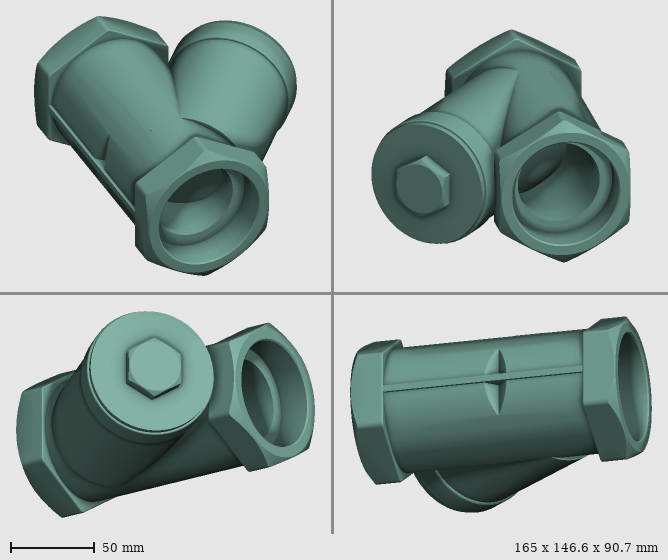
import cadquery as cq
import math

length = 165.0
body_dia = 75.0
bore_dia = 50.0
socket_dia = 65.0
socket_depth = 20.5
socket_chamfer = 0.8

collar_flats = 79.5
collar_width = 20.5
collar_face_dia = 78.0
collar_corner_radius = 3.6
collar_inner_fillet = 1.0
collar_bevel_length = 4.5

branch_angle = 40.0
branch_cross_x = 43.5
branch_start = 14.0
rim_start = 100.6
rim_end = 117.5
cap_end = 121.5
rim_dia = 78.0
rim_fillet = 0.8

head_flats = 32.0
head_end = 130.4
head_face_dia = 30.9
head_bevel_angle = 30.0

rib_width = 4.0
rib_outer = 39.5
rib_root = 29.7
notch_x = 7.5
notch_root = 30.7
notch_root_radius = 0.8
notch_edge_fillet = 0.5
notch_overshoot = 1.6

arrow_turn = 25.0
arrow_height = 0.2
arrow_tip_x = 12.9
arrow_head_x = 16.2
arrow_tail_x = 26.0
arrow_end_x = 32.0
arrow_vee_depth = 1.6
arrow_head_half = 1.6
arrow_shaft_half = 0.8
arrow_tail_half = 2.0


def corner_dia(flats):
    """Diameter across the corners of a hexagon."""
    return flats / math.cos(math.radians(30))


def rod(start, end, dia):
    """Cylinder along X."""
    return cq.Workplane("YZ", origin=(start, 0, 0)).circle(dia / 2).extrude(end - start)


def collar():
    """Hexagon collar on the -X end, bevelled at the open end."""
    inner_x = collar_width - length / 2
    tip_dia = corner_dia(collar_flats)
    rounding_loss = collar_corner_radius * (1 / math.cos(math.radians(30)) - 1)
    corner_radius = tip_dia / 2 - rounding_loss
    nut = (
        cq.Workplane("YZ", origin=(-length / 2, 0, 0))
        .transformed(rotate=(0, 0, 90))
        .polygon(6, tip_dia)
        .extrude(collar_width)
        .edges("|X").fillet(collar_corner_radius)
        .faces(">X").edges().fillet(collar_inner_fillet)
    )
    bevel_rise = corner_radius - collar_face_dia / 2
    envelope_radius = tip_dia / 2
    bevel_end = (envelope_radius - collar_face_dia / 2) * collar_bevel_length / bevel_rise
    envelope = (
        cq.Workplane("XY")
        .moveTo(-length / 2, 0)
        .lineTo(-length / 2, collar_face_dia / 2)
        .lineTo(-length / 2 + bevel_end, envelope_radius)
        .lineTo(inner_x, envelope_radius)
        .lineTo(inner_x, 0)
        .close()
        .revolve(360, (0, 0, 0), (1, 0, 0))
    )
    return nut.intersect(envelope)


def socket():
    """Counterbore of the -X end with a chamfered mouth."""
    cutter = rod(-length / 2, socket_depth - length / 2, socket_dia)
    mouth = cq.Solid.makeCone(
        socket_dia / 2 + socket_chamfer,
        socket_dia / 2,
        socket_chamfer,
        cq.Vector(-length / 2, 0, 0),
        cq.Vector(1, 0, 0),
    )
    return cutter.union(cq.Workplane(mouth))


def notch():
    """Right-angled V-groove across the -Y side, parallel to Z."""
    reach = body_dia / 2
    half_width = reach - notch_root + notch_overshoot
    return (
        cq.Workplane("XY", origin=(notch_x, -notch_root, 0))
        .polyline([(0, 0), (half_width, -half_width), (-half_width, -half_width)])
        .close()
        .extrude(reach, both=True)
        .edges("|Z and >Y").fillet(notch_root_radius)
    )


def branch():
    """Solid branch with rim, cap and hexagon head, built along Z then laid over."""
    neck = (
        cq.Workplane("XY", origin=(0, 0, branch_start))
        .circle(body_dia / 2)
        .extrude(cap_end - branch_start)
    )
    rim = (
        cq.Workplane("XY", origin=(0, 0, rim_start))
        .circle(rim_dia / 2)
        .extrude(rim_end - rim_start)
        .edges().fillet(rim_fillet)
    )
    tip_radius = corner_dia(head_flats) / 2
    head = (
        cq.Workplane("XY", origin=(0, 0, cap_end))
        .polygon(6, 2 * tip_radius)
        .extrude(head_end - cap_end)
    )
    bevel_drop = (tip_radius - head_face_dia / 2) * math.tan(math.radians(head_bevel_angle))
    envelope = (
        cq.Workplane("XZ")
        .polyline([
            (0, cap_end),
            (tip_radius, cap_end),
            (tip_radius, head_end - bevel_drop),
            (head_face_dia / 2, head_end),
            (0, head_end),
        ])
        .close()
        .revolve(360, (0, 0, 0), (0, 1, 0))
    )
    return (
        neck.union(rim).union(head.intersect(envelope))
        .rotate((0, 0, 0), (0, 1, 0), -90)
        .rotate((0, 0, 0), (0, 0, 1), -branch_angle)
        .translate((branch_cross_x, 0, 0))
    )


def arrow():
    """Thin arrow following the pipe surface."""
    outline = [
        (arrow_tip_x, 0),
        (arrow_head_x, arrow_head_half),
        (arrow_head_x, arrow_shaft_half),
        (arrow_tail_x, arrow_shaft_half),
        (arrow_tail_x, arrow_tail_half),
        (arrow_end_x, arrow_tail_half),
        (arrow_end_x - arrow_vee_depth, 0),
    ]
    mirrored = [(x, -y) for x, y in reversed(outline[1:-1])]
    prism = cq.Workplane("XY").polyline(outline + mirrored).close().extrude(body_dia)
    skin = rod(0, length / 2, body_dia + 2 * arrow_height).cut(rod(0, length / 2, bore_dia))
    return prism.rotate((0, 0, 0), (1, 0, 0), arrow_turn).intersect(skin)


pipe = rod(-length / 2, length / 2, body_dia).cut(notch())
notch_zone = cq.selectors.BoxSelector(
    (notch_x - body_dia / 4, -body_dia, -body_dia / 2),
    (notch_x + body_dia / 4, -notch_root, body_dia / 2),
)
pipe = pipe.edges(notch_zone).edges("not |Z").fillet(notch_edge_fillet)

left_collar = collar()
pipe = pipe.union(left_collar).union(left_collar.mirror("YZ"))
rib_length = length - 2 * (collar_width - collar_inner_fillet)
rib = cq.Workplane("XY").box(rib_length, rib_outer - rib_root, rib_width)
pipe = pipe.union(rib.translate((0, -(rib_outer + rib_root) / 2, 0)))
left_socket = socket()
pipe = pipe.cut(rod(-length / 2, length / 2, bore_dia))
pipe = pipe.cut(left_socket).cut(left_socket.mirror("YZ"))

result = pipe.union(branch()).union(arrow())